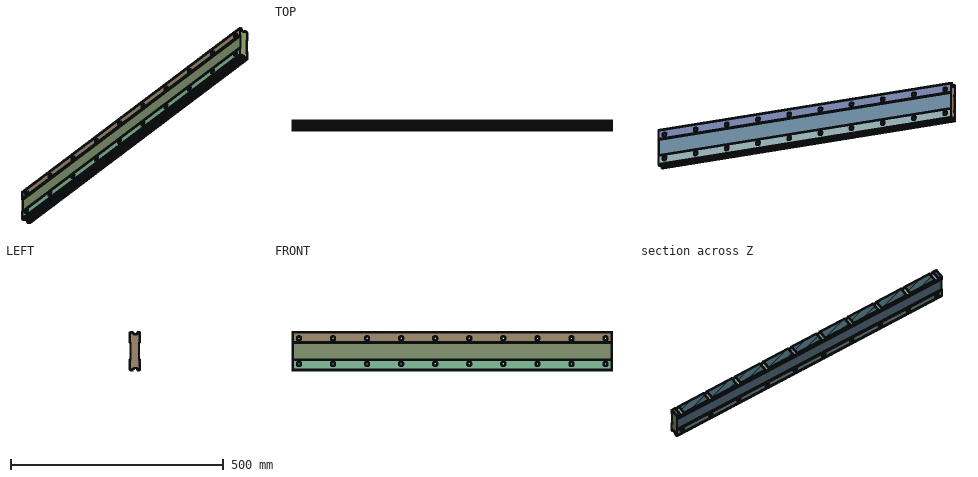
import cadquery as cq
import math

length = 750.0
thickness = 24.0
height = 90.0
side = thickness / 2
top = height / 2

relief_depth = 1.5
relief_floor_height = 39.0
relief_slope_height = 1.5

front_bevel = 1.5
back_bevel_width = 3.4
back_bevel_height = 2.6

groove_back = 5.0
groove_bend = 1.9
groove_floor_back = 1.0
groove_floor_front = -4.5
groove_step_depth = 2.0
back_flank_angle = 26.0
front_flank_angle = 60.0

hole_diameter = 9.0
holes_per_row = 10
hole_end_margin = 15.0
row_spacing = 60.0
hole_pitch = (length - 2 * hole_end_margin) / (holes_per_row - 1)


def rail_body():
    """Extrude the upper half of the cross-section along X and mirror it about Z = 0."""
    waist = side - relief_depth
    relief_floor_edge = relief_floor_height / 2
    relief_edge = relief_floor_edge + relief_slope_height

    step_z = top - groove_step_depth
    bend_z = step_z - (groove_back - groove_bend) * math.tan(math.radians(back_flank_angle))
    floor_z = bend_z - (groove_bend - groove_floor_back)
    groove_front = groove_floor_front - (top - floor_z) / math.tan(math.radians(front_flank_angle))

    upper_half = (
        cq.Workplane("YZ", origin=(-length / 2, 0, 0))
        .moveTo(waist, 0)
        .lineTo(waist, relief_floor_edge)
        .lineTo(side, relief_edge)
        .lineTo(side, top - back_bevel_height)
        .lineTo(side - back_bevel_width, top)
        .lineTo(groove_back, top)
        .lineTo(groove_back, step_z)
        .lineTo(groove_bend, bend_z)
        .lineTo(groove_floor_back, floor_z)
        .lineTo(groove_floor_front, floor_z)
        .lineTo(groove_front, top)
        .lineTo(-side + front_bevel, top)
        .lineTo(-side, top - front_bevel)
        .lineTo(-side, relief_edge)
        .lineTo(-waist, relief_floor_edge)
        .lineTo(-waist, 0)
        .close()
        .extrude(length)
    )
    return upper_half.union(upper_half.mirror("XY")).clean()


def mounting_holes():
    """Cylinders along Y for both rows of holes."""
    return (
        cq.Workplane("XZ")
        .rarray(hole_pitch, row_spacing, holes_per_row, 2)
        .circle(hole_diameter / 2)
        .extrude(thickness, both=True)
    )


result = rail_body().cut(mounting_holes())